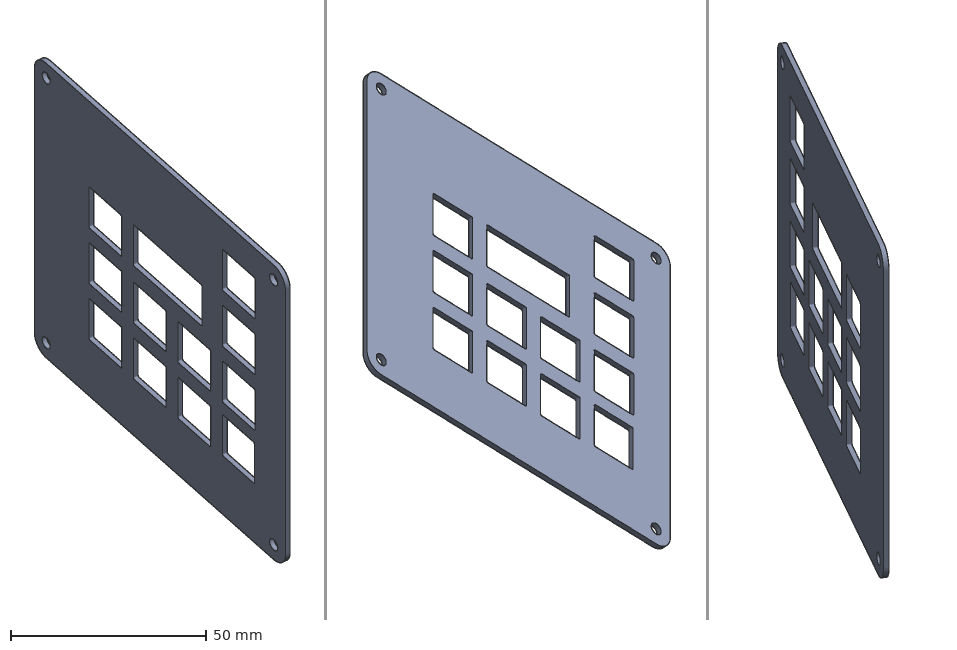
import cadquery as cq

plate_width = 107.5
plate_height = 100.4
plate_thickness = 1.5
corner_radius = 5.0

mount_hole_diameter = 3.4
mount_hole_span_x = plate_width - 2 * corner_radius
mount_hole_span_z = plate_height - 2 * corner_radius

key_size = 14.0
key_pitch = 19.0
first_column_x = -23.3
first_row_z = -24.0
cutout_corner_radius = 0.4

grid_keys = [
    (0, 0), (1, 0), (2, 0),
    (0, 1), (1, 1), (2, 1), (3, 1),
    (0, 2), (3, 2),
    (3, 3),
]

offset_key_width = 13.7
offset_key = (3, 0)
offset_key_shift_x = -0.1
offset_key_shift_z = 0.8

window_width = 29.3
window_height = 14.0
window_x = 3.3
window_z = 14.6


def key_centre(cell):
    column, row = cell
    return first_column_x + column * key_pitch, first_row_z + row * key_pitch


def cutout(width, height, x, z):
    """Rectangular cutter with rounded corners, long enough to pass through the plate."""
    block = cq.Workplane("XY").box(width, 2 * plate_thickness, height)
    return block.edges("|Y").fillet(cutout_corner_radius).translate((x, 0, z))


plate = cq.Workplane("XY").box(plate_width, plate_thickness, plate_height)
plate = plate.edges("|Y").fillet(corner_radius)

plate = (
    plate.faces("<Y")
    .workplane(centerOption="CenterOfBoundBox")
    .rect(mount_hole_span_x, mount_hole_span_z, forConstruction=True)
    .vertices()
    .hole(mount_hole_diameter)
)

for cell in grid_keys:
    plate = plate.cut(cutout(key_size, key_size, *key_centre(cell)))

offset_key_x, offset_key_z = key_centre(offset_key)
offset_key_x += offset_key_shift_x
offset_key_z += offset_key_shift_z
plate = plate.cut(cutout(offset_key_width, key_size, offset_key_x, offset_key_z))

plate = plate.cut(cutout(window_width, window_height, window_x, window_z))

result = plate